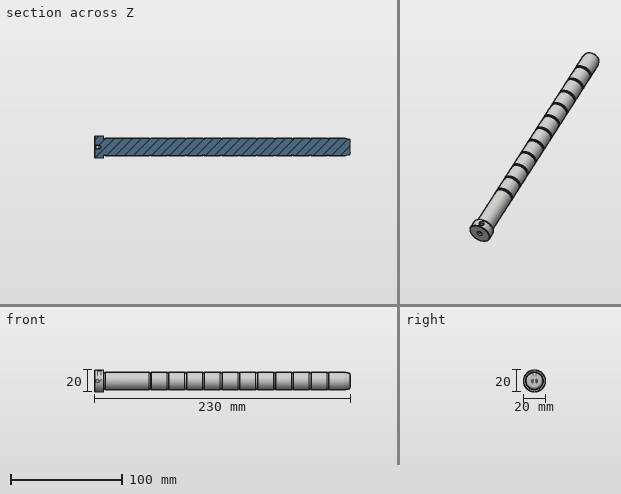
import cadquery as cq
import math

length = 230.0
head_diameter = 20.0
head_length = 8.0
head_chamfer = 0.5
shank_diameter = 16.0
head_radius = head_diameter / 2
shank_radius = shank_diameter / 2

relief_width = 1.7
relief_depth = 0.5
relief_ramp = 0.35

groove_count = 11
first_groove_center = 50.0
last_groove_center = 210.0
groove_pitch = (last_groove_center - first_groove_center) / (groove_count - 1)
groove_width = 2.0
groove_depth = 0.62
groove_wall_run = 0.55

nose_length = 5.0
nose_taper = math.radians(12)
nose_rounding = 2.0

feed_diameter = 3.0
countersink_diameter = 5.0
countersink_flank = 45


def revolve_about_axis(outline):
    return outline.revolve(360, (0, 0, 0), (1, 0, 0))


def make_body():
    """Revolve the half outline of the headed pin about the X axis."""
    relief_radius = shank_radius - relief_depth
    relief_end = head_length + relief_width
    nose_start = length - nose_length

    rounding_center_x = length - nose_rounding
    rounding_start_x = rounding_center_x + nose_rounding * math.sin(nose_taper)
    rounding_start_radius = shank_radius - (rounding_start_x - nose_start) * math.tan(nose_taper)
    end_radius = rounding_start_radius - nose_rounding * math.cos(nose_taper)

    outline = (
        cq.Workplane("XZ")
        .lineTo(0, head_radius - head_chamfer)
        .lineTo(head_chamfer, head_radius)
        .lineTo(head_length, head_radius)
        .lineTo(head_length, relief_radius)
        .lineTo(relief_end - relief_ramp, relief_radius)
        .lineTo(relief_end, shank_radius)
        .lineTo(nose_start, shank_radius)
        .lineTo(rounding_start_x, rounding_start_radius)
        .radiusArc((length, end_radius), nose_rounding)
        .lineTo(length, 0)
        .close()
    )
    return revolve_about_axis(outline)


def make_ring_groove(center_x):
    """Ring to cut from the shank: an arc down to a level floor, then a steep wall."""
    start_x = center_x - groove_width / 2
    end_x = center_x + groove_width / 2
    wall_foot = (end_x - groove_wall_run, shank_radius - groove_depth)

    arc_run = groove_width - groove_wall_run
    arc_radius = (arc_run**2 + groove_depth**2) / (2 * groove_depth)

    section = (
        cq.Workplane("XZ")
        .moveTo(start_x, shank_radius)
        .radiusArc(wall_foot, -arc_radius)
        .lineTo(end_x, shank_radius)
        .close()
    )
    return revolve_about_axis(section)


def make_feed_hole(mouth_plane, depth):
    """Blind hole with a countersink, running inward from the mouth plane."""
    hole = cq.Workplane(mouth_plane).circle(feed_diameter / 2).extrude(-depth)
    countersink_step = (countersink_diameter - feed_diameter) / 2
    countersink_depth = countersink_step / math.tan(math.radians(countersink_flank))
    countersink = (
        cq.Workplane(mouth_plane)
        .circle(countersink_diameter / 2)
        .extrude(-countersink_depth, taper=countersink_flank)
    )
    return hole.union(countersink)


result = make_body()

for index in range(groove_count):
    result = result.cut(make_ring_groove(first_groove_center + index * groove_pitch))

radial_hole_x = head_length / 2
face_plane = cq.Plane(origin=(0, 0, 0), xDir=(0, 1, 0), normal=(-1, 0, 0))
rim_plane = cq.Plane(origin=(radial_hole_x, 0, head_radius), xDir=(1, 0, 0), normal=(0, 0, 1))
result = result.cut(make_feed_hole(face_plane, radial_hole_x))
result = result.cut(make_feed_hole(rim_plane, head_radius))